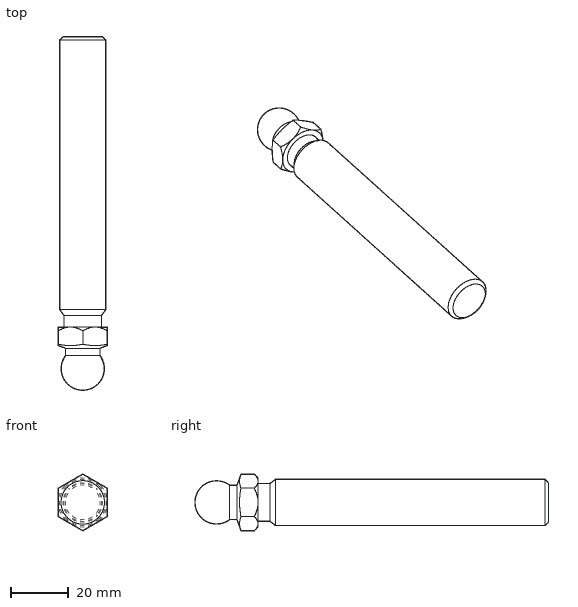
import cadquery as cq
import math

total_length = 122.0
ball_diameter = 15.0
neck_diameter = 12.0
hex_across_flats = 17.0
hex_sides = 6
undercut_diameter = 13.0
shank_diameter = 16.0
end_chamfer = 1.2

hex_front = 14.5
hex_back = 21.8
undercut_end = 25.9
shank_start = 27.8

front_chamfer_angle = 20.0

ball_radius = ball_diameter / 2
neck_radius = neck_diameter / 2
undercut_radius = undercut_diameter / 2
shank_radius = shank_diameter / 2
flat_radius = hex_across_flats / 2
corner_radius = flat_radius / math.cos(math.pi / hex_sides)

tip_y = -total_length / 2
end_y = total_length / 2


def revolve_about_y(profile):
    return profile.close().revolve(360, (0, 0, 0), (0, 1, 0))


def ball_and_neck():
    ball = cq.Workplane("XY").sphere(ball_radius).translate((0, tip_y + ball_radius, 0))
    neck_start = tip_y + ball_radius
    neck = revolve_about_y(
        cq.Workplane("XY")
        .moveTo(0, neck_start)
        .lineTo(neck_radius, neck_start)
        .lineTo(neck_radius, tip_y + hex_front)
        .lineTo(0, tip_y + hex_front)
    )
    return ball.union(neck)


def hexagon():
    step = 2 * math.pi / hex_sides
    corners = [
        (corner_radius * math.sin(i * step), corner_radius * math.cos(i * step))
        for i in range(hex_sides)
    ]
    prism = (
        cq.Workplane("XZ", origin=(0, tip_y + hex_back, 0))
        .polyline(corners)
        .close()
        .extrude(hex_back - hex_front)
    )
    front_rise = (corner_radius - neck_radius) * math.tan(math.radians(front_chamfer_angle))
    back_drop = corner_radius - flat_radius
    envelope = revolve_about_y(
        cq.Workplane("XY")
        .moveTo(0, tip_y + hex_front)
        .lineTo(neck_radius, tip_y + hex_front)
        .lineTo(corner_radius, tip_y + hex_front + front_rise)
        .lineTo(corner_radius, tip_y + hex_back - back_drop)
        .lineTo(flat_radius, tip_y + hex_back)
        .lineTo(0, tip_y + hex_back)
    )
    return prism.intersect(envelope)


def undercut_and_shank():
    return revolve_about_y(
        cq.Workplane("XY")
        .moveTo(0, tip_y + hex_back)
        .lineTo(undercut_radius, tip_y + hex_back)
        .lineTo(undercut_radius, tip_y + undercut_end)
        .lineTo(shank_radius, tip_y + shank_start)
        .lineTo(shank_radius, end_y - end_chamfer)
        .lineTo(shank_radius - end_chamfer, end_y)
        .lineTo(0, end_y)
    )


result = ball_and_neck().union(hexagon()).union(undercut_and_shank())